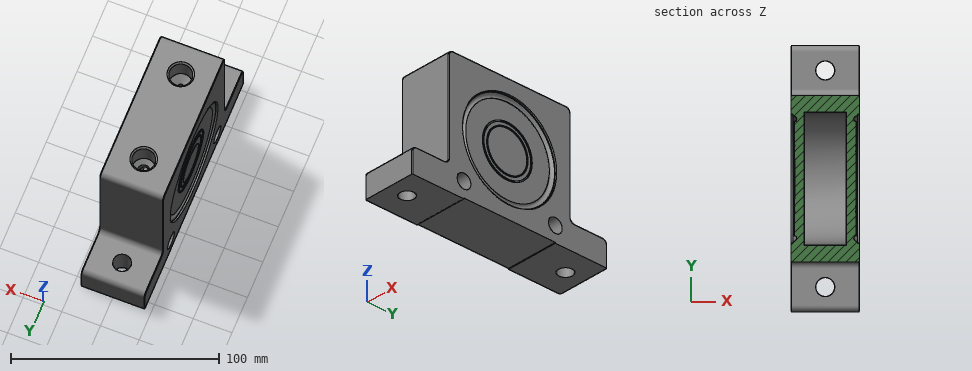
import cadquery as cq
import math

WIDTH = 33.0
FOOT_LENGTH = 128.0
FOOT_HEIGHT = 16.0
BLOCK_LENGTH = 80.0
HEIGHT = 80.0
CORNER_RADIUS = 3.0
EDGE_CHAMFER = 0.4

RELIEF_LENGTH = 60.0
RELIEF_DEPTH = 0.5

MOUNT_DIAMETER = 9.0
FOOT_HOLE_Y = 52.0
CROSS_HOLE_Y = 30.0
CROSS_HOLE_Z = 10.0

BORE_Z = 40.0
BORE_DIAMETER = 61.8
COVER_INSET = 1.5
RIM_INSET = 1.0
GROOVE_OUTER_DIAMETER = 60.8
GROOVE_INNER_DIAMETER = 55.0
GROOVE_RADIUS = 1.2
RING_DIAMETERS = ((32.5, 31.0), (27.0, 25.8))
BADGE_DIAMETER = 20.0
BADGE_Z = 37.5
MARK_DEPTH = 0.3

RACE_DIAMETER = 63.8
RACE_WIDTH = 20.0

PORT_Y = 24.0
PORT_DIAMETER = 11.45
PORT_MOUTH_DIAMETER = 13.2
PORT_DEPTH = 12.0
DRILL_POINT_ANGLE = 118.0
OUTLET_DIAMETER = 6.0
INLET_DIAMETER = 2.67

FACE_X = WIDTH / 2


def disc(diameter, x_start, length, z=BORE_Z):
    """Cylinder along +X starting at x_start, on the mid-plane Y = 0."""
    return cq.Workplane("YZ", origin=(x_start, 0, z)).circle(diameter / 2).extrude(length)


def make_housing():
    """Inverted-T body with rounded corners and chamfered side edges."""
    half_foot = FOOT_LENGTH / 2
    half_block = BLOCK_LENGTH / 2
    body = (
        cq.Workplane("YZ", origin=(-FACE_X, 0, 0))
        .moveTo(-half_foot, 0)
        .lineTo(half_foot, 0)
        .lineTo(half_foot, FOOT_HEIGHT)
        .lineTo(half_block, FOOT_HEIGHT)
        .lineTo(half_block, HEIGHT)
        .lineTo(-half_block, HEIGHT)
        .lineTo(-half_block, FOOT_HEIGHT)
        .lineTo(-half_foot, FOOT_HEIGHT)
        .close()
        .extrude(WIDTH)
    )
    upper_corners = cq.selectors.BoxSelector(
        (-WIDTH, -FOOT_LENGTH, FOOT_HEIGHT / 2), (WIDTH, FOOT_LENGTH, 2 * HEIGHT)
    )
    body = body.edges("|X").edges(upper_corners).fillet(CORNER_RADIUS)
    above_bottom = cq.selectors.BoxSelector(
        (-WIDTH, -FOOT_LENGTH, EDGE_CHAMFER), (WIDTH, FOOT_LENGTH, 2 * HEIGHT)
    )
    return body.faces("<X or >X").edges(above_bottom).chamfer(EDGE_CHAMFER)


def bottom_relief():
    return cq.Workplane("XY").box(WIDTH, RELIEF_LENGTH, 2 * RELIEF_DEPTH)


def mounting_holes():
    """Two holes down through the foot and two across the body."""
    radius = MOUNT_DIAMETER / 2
    foot = (
        cq.Workplane("XY")
        .pushPoints([(0, -FOOT_HOLE_Y), (0, FOOT_HOLE_Y)])
        .circle(radius)
        .extrude(FOOT_HEIGHT)
    )
    across = (
        cq.Workplane("YZ", origin=(-FACE_X, 0, CROSS_HOLE_Z))
        .pushPoints([(-CROSS_HOLE_Y, 0), (CROSS_HOLE_Y, 0)])
        .circle(radius)
        .extrude(WIDTH)
    )
    return foot.union(across)


def cover_recess():
    """Cuts that shape the -X cover: stepped inset, round groove and ring marks."""
    cover_x = -FACE_X + COVER_INSET
    rim = disc(BORE_DIAMETER, -FACE_X, RIM_INSET)
    centre_face = disc(GROOVE_INNER_DIAMETER, -FACE_X, COVER_INSET)
    recess = rim.union(centre_face)

    inner = GROOVE_INNER_DIAMETER / 2
    outer = GROOVE_OUTER_DIAMETER / 2
    centre = inner + GROOVE_RADIUS
    rim_drop = COVER_INSET - RIM_INSET
    rim_distance = math.hypot(outer - centre, rim_drop)
    rim_angle = math.atan2(rim_drop, outer - centre)
    tangent_angle = math.acos(GROOVE_RADIUS / rim_distance) - rim_angle
    tangent_point = (
        GROOVE_RADIUS * math.sin(tangent_angle),
        centre + GROOVE_RADIUS * math.cos(tangent_angle),
    )
    groove = (
        cq.Workplane("XY", origin=(cover_x, 0, BORE_Z))
        .moveTo(0, inner)
        .threePointArc((GROOVE_RADIUS, centre), tangent_point)
        .lineTo(-rim_drop, outer)
        .lineTo(-rim_drop, inner)
        .close()
        .revolve(360, (0, 0), (1, 0))
    )
    recess = recess.union(groove)

    for ring_outer, ring_inner in RING_DIAMETERS:
        ring = disc(ring_outer, cover_x, MARK_DEPTH).cut(disc(ring_inner, cover_x, MARK_DEPTH))
        recess = recess.union(ring)
    return recess


def badge():
    """Shallow round badge pocket in the -X cover."""
    return disc(BADGE_DIAMETER, -FACE_X + COVER_INSET, MARK_DEPTH, BADGE_Z)


def air_port(y, passage_diameter):
    """Port from the top face: chamfered mouth, drilled bore, passage into the race."""
    mouth = PORT_MOUTH_DIAMETER / 2
    bore = PORT_DIAMETER / 2
    passage = passage_diameter / 2
    slope = math.tan(math.radians(DRILL_POINT_ANGLE / 2))
    cone_depth = (bore - passage) / slope
    return (
        cq.Workplane("XZ", origin=(0, y, 0))
        .moveTo(0, HEIGHT)
        .lineTo(mouth, HEIGHT)
        .lineTo(bore, HEIGHT - (mouth - bore))
        .lineTo(bore, HEIGHT - PORT_DEPTH)
        .lineTo(passage, HEIGHT - PORT_DEPTH - cone_depth)
        .lineTo(passage, BORE_Z)
        .lineTo(0, BORE_Z)
        .close()
        .revolve(360, (0, 0), (0, 1))
    )


near_cover = cover_recess()

result = (
    make_housing()
    .cut(bottom_relief())
    .cut(mounting_holes())
    .cut(near_cover)
    .cut(near_cover.mirror("YZ"))
    .cut(badge())
    .cut(disc(RACE_DIAMETER, -RACE_WIDTH / 2, RACE_WIDTH))
    .cut(air_port(PORT_Y, OUTLET_DIAMETER))
    .cut(air_port(-PORT_Y, INLET_DIAMETER))
)